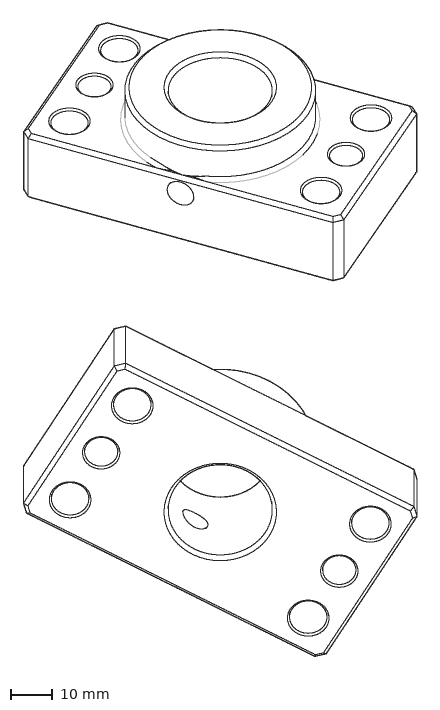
import cadquery as cq

length = 84.0
width = 48.0
block_height = 20.0
total_height = 30.0
edge_chamfer = 1.0
corner_chamfer = 2.0

boss_diameter = width - 2 * edge_chamfer
bore_diameter = 25.0
root_fillet = 1.0
fillet_fade_half_width = 6.4

hole_row_x = 33.0
outer_hole_y = 15.0
outer_hole_diameter = 9.0
middle_hole_diameter = 8.0
hole_chamfer = 0.5

port_diameter = 7.0
port_height = 15.0


def make_block():
    """Rectangular block with bevelled corners and bevelled top and bottom edges."""
    block = cq.Workplane("XY").box(length, width, block_height, centered=(True, True, False))
    block = block.edges("|Z").chamfer(corner_chamfer)
    return block.faces("<Z or >Z").edges().chamfer(edge_chamfer)


def make_boss():
    """Round boss standing on the block, bevelled at its upper rim."""
    boss = cq.Workplane("XY").circle(boss_diameter / 2).extrude(total_height)
    return boss.faces(">Z").edges().chamfer(edge_chamfer)


def make_root_fillet():
    """Concave ring at the foot of the boss, fading out where the boss meets the block's long edges."""
    boss_radius = boss_diameter / 2
    outer_radius = boss_radius + root_fillet
    ring = (
        cq.Workplane("XZ")
        .moveTo(bore_diameter / 2 + edge_chamfer, block_height)
        .lineTo(outer_radius, block_height)
        .radiusArc((boss_radius, block_height + root_fillet), root_fillet)
        .lineTo(bore_diameter / 2 + edge_chamfer, block_height + root_fillet)
        .close()
        .revolve(360, (0, 0, 0), (0, 1, 0))
    )
    flat_top = cq.Workplane("XY").box(length, boss_diameter, 2 * total_height)
    fade_notch = (
        cq.Workplane("XZ")
        .moveTo(0, block_height)
        .lineTo(fillet_fade_half_width, block_height + root_fillet)
        .lineTo(-fillet_fade_half_width, block_height + root_fillet)
        .close()
        .extrude(width, both=True)
    )
    return ring.intersect(flat_top).cut(fade_notch)


def make_chamfered_hole(x, y, diameter, depth, chamfer):
    """Cutter for a vertical through hole bevelled at both ends."""
    radius = diameter / 2
    return (
        cq.Workplane("XZ")
        .polyline([
            (0, 0),
            (radius + chamfer, 0),
            (radius, chamfer),
            (radius, depth - chamfer),
            (radius + chamfer, depth),
            (0, depth),
        ])
        .close()
        .revolve(360, (0, 0, 0), (0, 1, 0))
        .translate((x, y, 0))
    )


def make_port():
    """Cutter for the radial port, from the -Y side to the bore axis."""
    return (
        cq.Workplane("XZ")
        .center(0, port_height)
        .circle(port_diameter / 2)
        .extrude(width / 2)
    )


result = make_block().union(make_boss()).union(make_root_fillet())
result = result.cut(make_chamfered_hole(0, 0, bore_diameter, total_height, edge_chamfer))

mounting_holes = [
    (-outer_hole_y, outer_hole_diameter),
    (0, middle_hole_diameter),
    (outer_hole_y, outer_hole_diameter),
]
for x in (-hole_row_x, hole_row_x):
    for y, diameter in mounting_holes:
        result = result.cut(make_chamfered_hole(x, y, diameter, block_height, hole_chamfer))

result = result.cut(make_port())